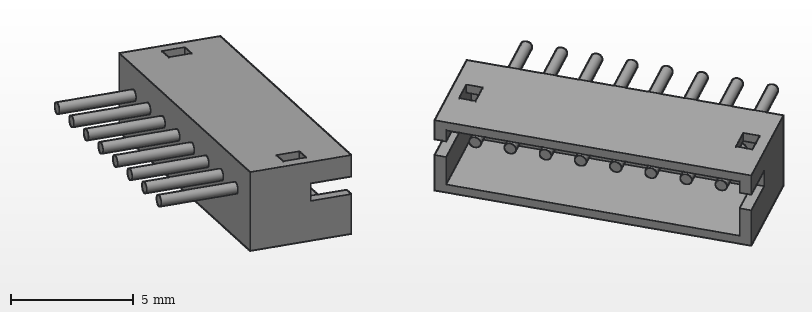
import cadquery as cq

body_width = 13.5
body_depth = 4.5
body_height = 3.5
side_wall = 0.5
top_wall = 0.4
bottom_wall = top_wall
rear_wall = 1.0

pin_count = 8
pin_pitch = 1.5
pin_diameter = 0.5
pin_drop = 1.28
pin_tail = 3.4
pin_tip_recess = 0.73

slot_depth = 1.8
slot_height = 0.77
slot_drop = 0.96
window_width = 0.7
window_length = 1.01


def block(x_size, y_size, z_size, x_center, y_start, z_start):
    """Box centred on x_center, growing from y_start and z_start."""
    box = cq.Workplane("XY").box(x_size, y_size, z_size, centered=(True, False, False))
    return box.translate((x_center, y_start, z_start))


def make_housing():
    housing = block(body_width, body_depth, body_height, 0, 0, 0)

    cavity_width = body_width - 2 * side_wall
    cavity_depth = body_depth - rear_wall
    cavity_height = body_height - top_wall - bottom_wall
    housing = housing.cut(block(cavity_width, cavity_depth, cavity_height, 0, rear_wall, bottom_wall))

    slot_floor = body_depth - slot_depth
    slot_bottom = body_height - slot_drop - slot_height
    housing = housing.cut(block(body_width, slot_depth, slot_height, 0, slot_floor, slot_bottom))

    window_x = (cavity_width - window_width) / 2
    window_start = slot_floor - window_length
    for side in (-1, 1):
        window = block(
            window_width, window_length, top_wall, side * window_x, window_start, body_height - top_wall
        )
        housing = housing.cut(window)
    return housing


def make_pin(x):
    pin_length = pin_tail + body_depth - pin_tip_recess
    pin_start = cq.Vector(x, -pin_tail, body_height - pin_drop)
    return cq.Solid.makeCylinder(pin_diameter / 2, pin_length, pin_start, cq.Vector(0, 1, 0))


result = make_housing()
for index in range(pin_count):
    pin_x = (index - (pin_count - 1) / 2) * pin_pitch
    result = result.union(cq.Workplane(make_pin(pin_x)))